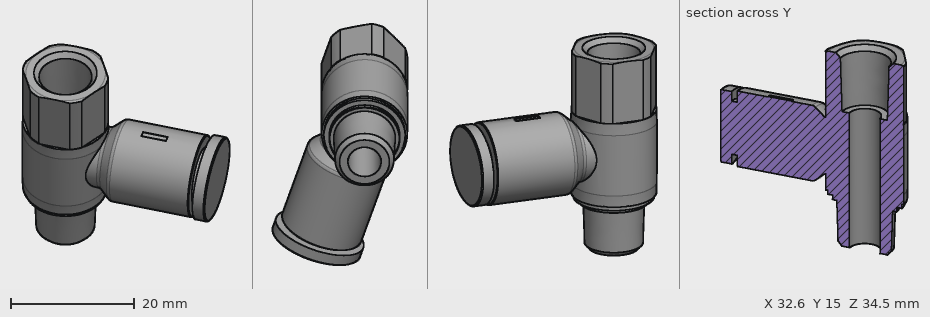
import cadquery as cq
import math

TOTAL_HEIGHT = 34.5
BODY_RADIUS = 7.0
BODY_END_RADIUS = 6.95
BODY_TOP = 23.98
UPPER_BAND_BOTTOM = 21.98
LOWER_BAND_TOP = 11.52
BODY_BOTTOM = 9.52

LARGE_COLLAR_RADIUS = 6.6
LARGE_COLLAR_BOTTOM = 8.8
SMALL_COLLAR_RADIUS = 5.73
SMALL_COLLAR_BOTTOM = 8.0
SMALL_COLLAR_CHAMFER = 0.1

RADIUS_TAPER = 1 / 32
THREAD_TOP_RADIUS = 5.0
THREAD_TIP_RADIUS = 4.05
THREAD_TIP_CHAMFER = 0.83

HEX_ACROSS_FLATS = 13.0
HEX_CORNER_RADIUS = BODY_RADIUS
HEX_TOP_RADIUS = 6.45
HEX_CHAMFER_ANGLE = 15.0

THROUGH_RADIUS = 2.7
SOCKET_RADIUS = 4.28
SOCKET_DEPTH = 10.35
COUNTERSINK_RADIUS = 5.1

BRANCH_HEIGHT = 17.45
NECK_RADIUS = 5.05
BARREL_RADIUS = 6.8
CONE_START = 7.0
CONE_END = 9.0
CONE_FILLET = 0.9
BARREL_END = 22.65
BARREL_CHAMFER = 0.15

STEM_RADIUS = 4.8
BUTTON_START = 23.55
BRANCH_END = 25.6
BUTTON_WIDTH = 15.0
BUTTON_HEIGHT = 13.05
BUTTON_CHAMFER = 0.2

MARK_START = 12.95
MARK_LENGTH = 4.15
MARK_WIDTH = 0.95
MARK_PROUD = 0.07


def turned_body():
    """Body, collars and male thread as one profile turned about Z."""
    thread_length = SMALL_COLLAR_BOTTOM - THREAD_TIP_CHAMFER
    thread_end_radius = THREAD_TOP_RADIUS - thread_length * RADIUS_TAPER
    outline = [
        (0, 0),
        (THREAD_TIP_RADIUS, 0),
        (thread_end_radius, THREAD_TIP_CHAMFER),
        (THREAD_TOP_RADIUS, SMALL_COLLAR_BOTTOM),
        (SMALL_COLLAR_RADIUS - SMALL_COLLAR_CHAMFER, SMALL_COLLAR_BOTTOM),
        (SMALL_COLLAR_RADIUS, SMALL_COLLAR_BOTTOM + SMALL_COLLAR_CHAMFER),
        (SMALL_COLLAR_RADIUS, LARGE_COLLAR_BOTTOM),
        (LARGE_COLLAR_RADIUS, LARGE_COLLAR_BOTTOM),
        (LARGE_COLLAR_RADIUS, BODY_BOTTOM),
        (BODY_END_RADIUS, BODY_BOTTOM),
        (BODY_RADIUS, LOWER_BAND_TOP),
        (BODY_RADIUS, UPPER_BAND_BOTTOM),
        (BODY_END_RADIUS, BODY_TOP),
        (0, BODY_TOP),
    ]
    return cq.Workplane("XZ").polyline(outline).close().revolve()


def hex_head():
    """Hexagon with two flats facing +Y and -Y, its corners rounded and chamfered at the top."""
    head_height = TOTAL_HEIGHT - BODY_TOP
    across_corners = HEX_ACROSS_FLATS / math.cos(math.pi / 6)
    hexagon = cq.Workplane("XY", origin=(0, 0, BODY_TOP)).polygon(6, across_corners).extrude(head_height)
    chamfer_height = (HEX_CORNER_RADIUS - HEX_TOP_RADIUS) * math.tan(math.radians(HEX_CHAMFER_ANGLE))
    blank = (
        cq.Workplane("XZ")
        .polyline([
            (0, BODY_TOP),
            (HEX_CORNER_RADIUS, BODY_TOP),
            (HEX_CORNER_RADIUS, TOTAL_HEIGHT - chamfer_height),
            (HEX_TOP_RADIUS, TOTAL_HEIGHT),
            (0, TOTAL_HEIGHT),
        ])
        .close()
        .revolve()
    )
    return hexagon.intersect(blank)


def branch_barrel():
    """Neck, filleted cone, barrel and stem turned about the branch axis."""
    outline = [
        (0, 0),
        (0, NECK_RADIUS),
        (CONE_START, NECK_RADIUS),
        (CONE_END, BARREL_RADIUS),
        (BARREL_END - BARREL_CHAMFER, BARREL_RADIUS),
        (BARREL_END, BARREL_RADIUS - BARREL_CHAMFER),
        (BARREL_END, STEM_RADIUS),
        (BUTTON_START, STEM_RADIUS),
        (BUTTON_START, 0),
    ]
    barrel = (
        cq.Workplane("XZ", origin=(0, 0, BRANCH_HEIGHT))
        .polyline(outline)
        .close()
        .revolve(360, (0, 0), (1, 0))
    )
    for corner in (CONE_START, CONE_END):
        rim = cq.selectors.NearestToPointSelector((corner, 0, BRANCH_HEIGHT))
        barrel = barrel.edges(rim).fillet(CONE_FILLET)
    return barrel


def release_button():
    """Elliptical disc with a chamfered outer rim."""
    return (
        cq.Workplane("YZ", origin=(BUTTON_START, 0, BRANCH_HEIGHT))
        .ellipse(BUTTON_WIDTH / 2, BUTTON_HEIGHT / 2)
        .extrude(BRANCH_END - BUTTON_START)
        .faces(">X")
        .edges()
        .chamfer(BUTTON_CHAMFER)
    )


def barrel_mark():
    """Thin raised bar along the top of the barrel, rooted inside it."""
    root_depth = 0.35
    root_level = BRANCH_HEIGHT + BARREL_RADIUS - root_depth
    return cq.Workplane("XY", origin=(MARK_START, 0, root_level)).box(
        MARK_LENGTH, MARK_WIDTH, root_depth + MARK_PROUD, centered=(False, True, False)
    )


def bore():
    """Through hole with the countersunk, tapered socket at the top."""
    countersink_depth = COUNTERSINK_RADIUS - SOCKET_RADIUS
    socket_end_radius = SOCKET_RADIUS - (SOCKET_DEPTH - countersink_depth) * RADIUS_TAPER
    outline = [
        (0, 0),
        (THROUGH_RADIUS, 0),
        (THROUGH_RADIUS, TOTAL_HEIGHT - SOCKET_DEPTH),
        (socket_end_radius, TOTAL_HEIGHT - SOCKET_DEPTH),
        (SOCKET_RADIUS, TOTAL_HEIGHT - countersink_depth),
        (COUNTERSINK_RADIUS, TOTAL_HEIGHT),
        (0, TOTAL_HEIGHT),
    ]
    return cq.Workplane("XZ").polyline(outline).close().revolve()


result = (
    turned_body()
    .union(hex_head())
    .union(branch_barrel())
    .union(release_button())
    .union(barrel_mark())
    .cut(bore())
)